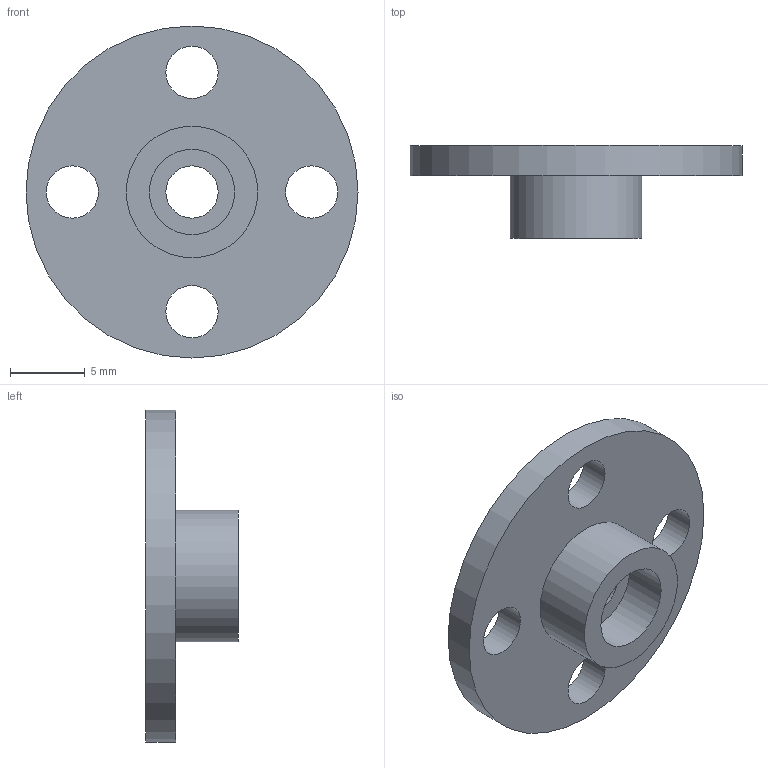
import cadquery as cq

flange_diameter = 22.2
flange_thickness = 2.0

hub_diameter = 8.8
hub_height = 4.2

bore_diameter = 5.7
bore_depth = 3.0
through_hole_diameter = 3.5

mounting_hole_count = 4
mounting_hole_diameter = 3.5
mounting_circle_diameter = 16.0

overall_length = flange_thickness + hub_height


def cylinder_along_y(diameter, y_start, length):
    """Cylinder on the Y axis, reaching from y_start towards +Y."""
    base = cq.Workplane("XZ", origin=(0, y_start, 0))
    return base.circle(diameter / 2).extrude(-length)


def make_body():
    """Flange with its back face at Y = 0 and the hub towards -Y."""
    flange = cylinder_along_y(flange_diameter, -flange_thickness, flange_thickness)
    hub = cylinder_along_y(hub_diameter, -overall_length, overall_length)
    return flange.union(hub)


def cut_centre_hole(body):
    through_hole = cylinder_along_y(through_hole_diameter, -overall_length, overall_length)
    bore = cylinder_along_y(bore_diameter, -overall_length, bore_depth)
    return body.cut(through_hole).cut(bore)


def cut_mounting_holes(body):
    holes = (
        cq.Workplane("XZ")
        .polarArray(mounting_circle_diameter / 2, 0, 360, mounting_hole_count)
        .circle(mounting_hole_diameter / 2)
        .extrude(flange_thickness)
    )
    return body.cut(holes)


result = cut_mounting_holes(cut_centre_hole(make_body()))